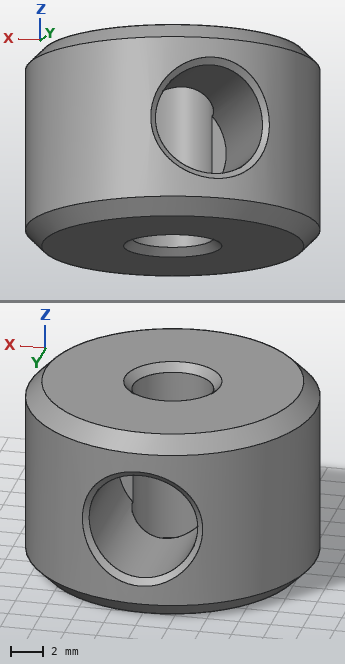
import cadquery as cq

body_diameter = 18.0
body_height = 12.0
body_chamfer = 1.0
body_radius = body_diameter / 2

bore_diameter = 5.0
bore_chamfer = 0.5

radial_hole_diameter = 6.8
radial_hole_depth = body_radius
radial_hole_chamfer = 0.4


def make_body():
    base_plane = cq.Workplane("XY", origin=(0, 0, -body_height / 2))
    cylinder = base_plane.circle(body_radius).extrude(body_height)
    return cylinder.faces("<Z or >Z").chamfer(body_chamfer)


def cut_radial_hole(body):
    mouth_plane = cq.Workplane("XZ", origin=(0, body_radius, 0))
    hole = mouth_plane.circle(radial_hole_diameter / 2).extrude(radial_hole_depth)
    return body.cut(hole).edges(">Y").chamfer(radial_hole_chamfer)


def cut_bore(body):
    bored = body.faces(">Z").workplane(origin=(0, 0, 0)).hole(bore_diameter)
    bore_rims = cq.selectors.RadiusNthSelector(0)
    return bored.faces("<Z or >Z").edges(bore_rims).chamfer(bore_chamfer)


result = cut_bore(cut_radial_hole(make_body()))